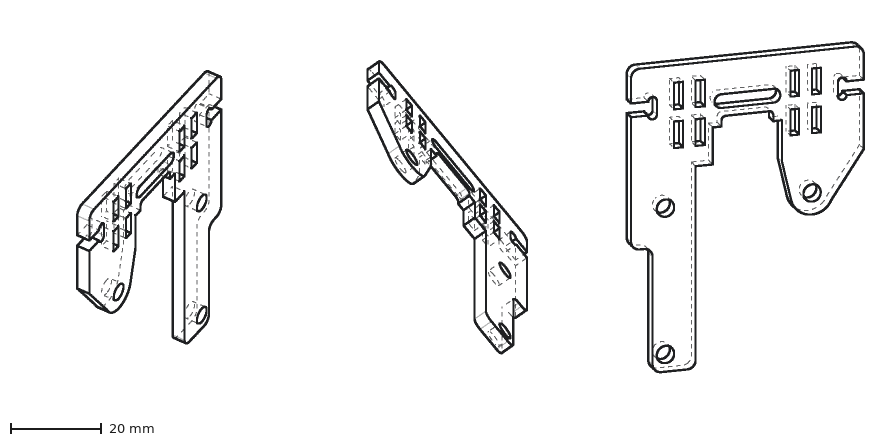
import cadquery as cq
import math

thickness = 3.17
width = 54.0
height = 71.0
corner_radius = 2.0
side_y = width / 2

hole_diameter = 4.0
hole_spacing = 34.0
leg_hole_y = 19.0
lug_hole_y = leg_hole_y - hole_spacing
lower_hole_z = 4.0
upper_hole_z = lower_hole_z + hole_spacing
leg_inner_y = 12.0
leg_outer_y = 22.0
shoulder_z = 29.0

lug_radius = 5.0
lug_taper_top_z = 47.0
lug_inner_taper_top_z = 46.0
lug_arc_end_y = -19.5
lug_arc_end_z = 36.0

opening_half_width = 8.0
opening_ledge_z = 55.6
leg_ledge_z = 47.0
recess_half_width = 6.0
recess_top_z = 58.0
recess_corner_radius = 1.0

slot_z = 61.515
slot_width = thickness
edge_slot_depth = 5.0
relief_radius = 1.0
central_slot_length = 15.24

window_top_zs = (66.9, 57.9)
window_outer_edge_ys = (12.0, 17.0)
leg_window_width = 2.1
leg_window_height = 6.17
lug_window_width = 2.0
lug_window_height = 6.0


def tangent_point(start_y, start_z):
    """Point where a line from the start touches the lug arc on its inner side."""
    offset_y = start_y - lug_hole_y
    offset_z = start_z - upper_hole_z
    direction = math.atan2(offset_z, offset_y)
    half_angle = math.acos(lug_radius / math.hypot(offset_y, offset_z))
    angle = direction - half_angle
    return (lug_hole_y + lug_radius * math.cos(angle), upper_hole_z + lug_radius * math.sin(angle))


def fillet_at(plate, y, z, radius):
    """Round the plate's through-thickness edge at (y, z)."""
    selector = cq.selectors.NearestToPointSelector((thickness / 2, y, z))
    return plate.edges("|X").edges(selector).fillet(radius)


def make_plate():
    inner_tangent = tangent_point(-opening_half_width, lug_inner_taper_top_z)
    outer_arc_end = (lug_arc_end_y, lug_arc_end_z)
    plate = (
        cq.Workplane("YZ")
        .moveTo(side_y, height)
        .lineTo(side_y, shoulder_z)
        .lineTo(leg_outer_y, shoulder_z)
        .lineTo(leg_outer_y, 0)
        .lineTo(leg_inner_y, 0)
        .lineTo(leg_inner_y, leg_ledge_z)
        .lineTo(opening_half_width, leg_ledge_z)
        .lineTo(opening_half_width, opening_ledge_z)
        .lineTo(recess_half_width, opening_ledge_z)
        .lineTo(recess_half_width, recess_top_z)
        .lineTo(-recess_half_width, recess_top_z)
        .lineTo(-recess_half_width, opening_ledge_z)
        .lineTo(-opening_half_width, opening_ledge_z)
        .lineTo(-opening_half_width, lug_inner_taper_top_z)
        .lineTo(*inner_tangent)
        .threePointArc((lug_hole_y, upper_hole_z - lug_radius), outer_arc_end)
        .lineTo(-side_y, lug_taper_top_z)
        .lineTo(-side_y, height)
        .close()
        .extrude(thickness)
    )
    rounded_corners = (
        (side_y, height),
        (-side_y, height),
        (side_y, shoulder_z),
        (leg_outer_y, shoulder_z),
        (leg_outer_y, 0),
        (leg_inner_y, 0),
    )
    for y, z in rounded_corners:
        plate = fillet_at(plate, y, z, corner_radius)
    for y in (recess_half_width, -recess_half_width):
        plate = fillet_at(plate, y, recess_top_z, recess_corner_radius)
    return plate


def make_holes():
    centres = [(leg_hole_y, lower_hole_z), (leg_hole_y, upper_hole_z), (lug_hole_y, upper_hole_z)]
    return cq.Workplane("YZ").pushPoints(centres).circle(hole_diameter / 2).extrude(thickness)


def make_edge_slot(side):
    """Slot open to one side edge, ending in a taller slot with rounded ends."""
    relief_y = side * (side_y - edge_slot_depth)
    channel = (
        cq.Workplane("YZ")
        .center(side * (side_y - edge_slot_depth / 2), slot_z)
        .rect(edge_slot_depth, slot_width)
        .extrude(thickness)
    )
    relief = (
        cq.Workplane("YZ")
        .center(relief_y, slot_z)
        .slot2D(slot_width + 2 * relief_radius, 2 * relief_radius, angle=90)
        .extrude(thickness)
    )
    return channel.union(relief)


def make_central_slot():
    return (
        cq.Workplane("YZ")
        .center(0, slot_z)
        .slot2D(central_slot_length, slot_width)
        .extrude(thickness)
    )


def make_windows(edge_ys, window_width, window_height):
    """Windows hanging from the row tops and running toward -Y from the given edges."""
    centres = [
        (edge_y - window_width / 2, top_z - window_height / 2)
        for edge_y in edge_ys
        for top_z in window_top_zs
    ]
    return cq.Workplane("YZ").pushPoints(centres).rect(window_width, window_height).extrude(thickness)


lug_window_edge_ys = [lug_window_width - y for y in window_outer_edge_ys]

result = (
    make_plate()
    .cut(make_holes())
    .cut(make_edge_slot(1))
    .cut(make_edge_slot(-1))
    .cut(make_central_slot())
    .cut(make_windows(window_outer_edge_ys, leg_window_width, leg_window_height))
    .cut(make_windows(lug_window_edge_ys, lug_window_width, lug_window_height))
)